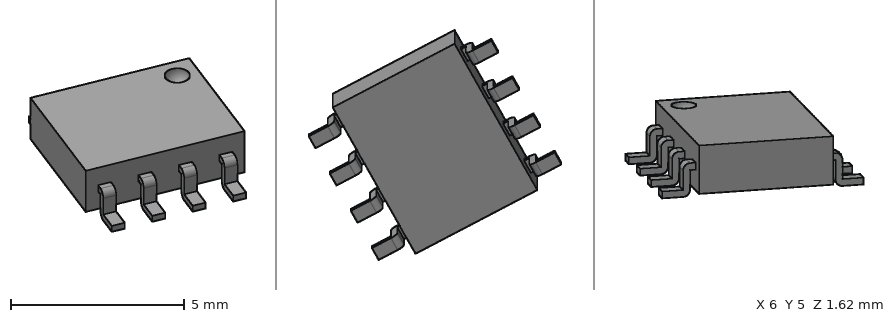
import cadquery as cq

span_x = 6.0
overall_height = 1.62

housing_x = 4.0
housing_y = 5.0
housing_height = 1.45
housing_bottom = overall_height - housing_height

dimple_radius = 0.365
lining_thickness = 0.005
dimple_inset = 0.665
dimple_x = dimple_inset - housing_x / 2
dimple_y = housing_y / 2 - dimple_inset

leads_per_side = 4
lead_pitch = 1.27
lead_width = 0.41
lead_thickness = 0.21
lead_top = 1.0
foot_length = 0.625
toe_x = span_x / 2
shank_outer_x = toe_x - foot_length
shank_inner_x = shank_outer_x - lead_thickness
shoulder_bottom = lead_top - lead_thickness
bend_radius = lead_thickness


def dimple_ball(radius):
    """Ball centred on the dimple, level with the top face."""
    return cq.Workplane("XY").sphere(radius).translate((dimple_x, dimple_y, overall_height))


def make_housing():
    """Rectangular block with a hemispherical dimple in its top face."""
    block = (
        cq.Workplane("XY")
        .workplane(offset=housing_bottom)
        .rect(housing_x, housing_y)
        .extrude(housing_height)
    )
    return block.cut(dimple_ball(dimple_radius))


def make_dimple_lining():
    """Thin hemispherical shell that coats the dimple."""
    shell = dimple_ball(dimple_radius).cut(dimple_ball(dimple_radius - lining_thickness))
    space_above = (
        cq.Workplane("XY", origin=(dimple_x, dimple_y, overall_height))
        .circle(2 * dimple_radius)
        .extrude(2 * dimple_radius)
    )
    return shell.cut(space_above)


def make_lead(y_centre, turn):
    """Z-shaped lead on the +X side, turned about Z by the given angle."""
    half_width = lead_width / 2
    profile = (
        cq.Workplane("XZ", origin=(0, half_width, 0))
        .moveTo(housing_x / 2, lead_top)
        .lineTo(shank_inner_x, lead_top)
        .radiusArc((shank_outer_x, shoulder_bottom), bend_radius)
        .lineTo(shank_outer_x, lead_thickness)
        .lineTo(toe_x, lead_thickness)
        .lineTo(toe_x, 0)
        .lineTo(shank_outer_x, 0)
        .radiusArc((shank_inner_x, lead_thickness), bend_radius)
        .lineTo(shank_inner_x, shoulder_bottom)
        .lineTo(housing_x / 2, shoulder_bottom)
        .close()
    )
    lead = profile.extrude(lead_width)
    return lead.rotate((0, 0, 0), (0, 0, 1), turn).translate((0, y_centre, 0))


housing = make_housing()
dimple_lining = make_dimple_lining()

first_lead_y = -lead_pitch * (leads_per_side - 1) / 2
leads = []
for row in range(leads_per_side):
    row_y = first_lead_y + row * lead_pitch
    for side_turn in (0, 180):
        leads.append(make_lead(row_y, side_turn).val())

result = cq.Compound.makeCompound([housing.val(), dimple_lining.val(), *leads])